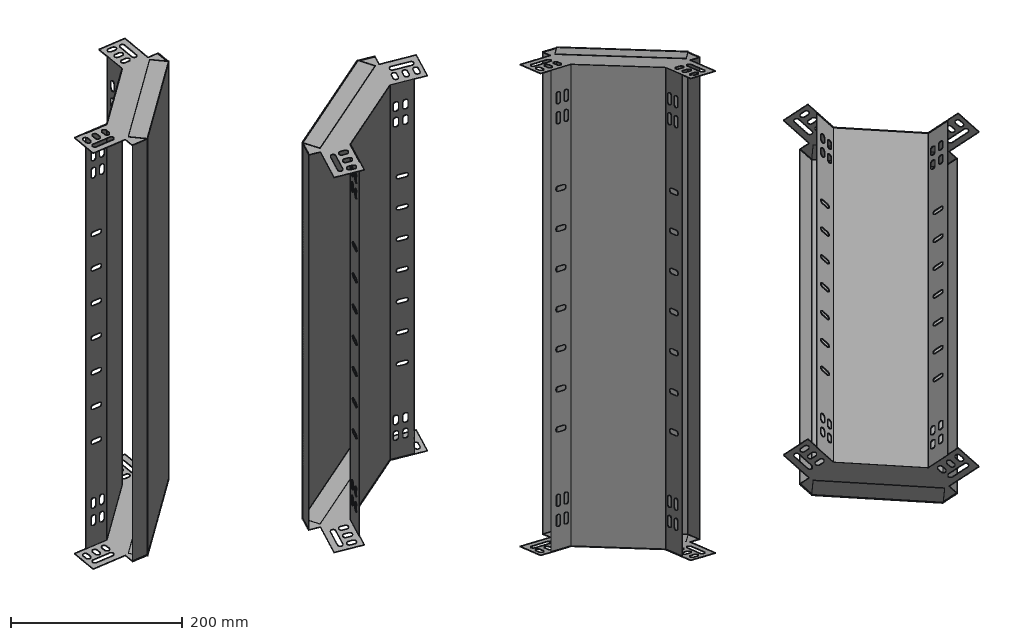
import cadquery as cq
import math

overall_width = 176.16
overall_height = 603.2
sheet = 0.8

arm_length = 46.0
section_depth = 52.2
wall_face = overall_width - section_depth
miter = math.tan(math.radians(22.5))

tray_height = overall_height - 2 * sheet
tray_half = tray_height / 2
arm_wall_length = 30.0
arm_wall_start = arm_length - arm_wall_length
lug_depth = 37.5

cover_clearance = 0.2
cover_offset = section_depth - sheet
lip_width = 23.0

slot_width = 6.5
wall_slot_length = 15.0
wall_slot_start = 23.5
wall_row_count = 7
wall_row_pitch = 50.0
pair_xs = (27.0, 39.0)
pair_zs = (238.5, 263.5)

lug_slot_x = 22.25
long_slot_length = 30.0
long_slot_y = 150.1
short_slot_length = 12.0
short_slot_y = 136.5
short_slot_count = 3
short_slot_pitch = 13.4


def corner(offset):
    """Plan corner between the arm and the 45 degree stretch, at an offset from the wall face."""
    return (arm_length + offset * miter, wall_face + offset)


def with_mirror(half_path):
    """Plan path continued by its mirror image about the line X = Y."""
    return half_path + [(y, x) for x, y in reversed(half_path)]


def plate(outline, z_low, height):
    return cq.Workplane("XY", origin=(0, 0, z_low)).polyline(outline).close().extrude(height)


def bent_wall(start_x, offset):
    """Sheet of tray height following both arms and the 45 degree stretch, inner face at the offset."""
    back = offset + sheet
    inner_path = with_mirror([(start_x, wall_face + offset), corner(offset)])
    outer_path = with_mirror([(start_x, wall_face + back), corner(back)])
    return plate(inner_path + outer_path[::-1], -tray_half, tray_height)


def other_arm(cutter):
    """Mirror image of a cutter about the plane X = Y."""
    return cutter.mirror("XZ").rotate((0, 0, 0), (0, 0, 1), 90)


def lug_slots():
    """One long slot and a row of short cross slots, through the lugs at both ends."""
    base = cq.Workplane("XY", origin=(lug_slot_x, 0, -tray_half))
    long_slot = base.center(0, long_slot_y).slot2D(long_slot_length, slot_width).extrude(tray_height)
    short_slots = (
        base.center(0, short_slot_y)
        .rarray(short_slot_pitch, 1, short_slot_count, 1)
        .slot2D(short_slot_length, slot_width, 90)
        .extrude(tray_height)
    )
    return long_slot.union(short_slots)


def wall_slots():
    """Column of crosswise slots, with two pairs of lengthwise slots near each end."""
    base = cq.Workplane("XZ", origin=(0, wall_face + sheet, 0))
    column = (
        base.center(wall_slot_start + wall_slot_length / 2, 0)
        .rarray(1, wall_row_pitch, 1, wall_row_count)
        .slot2D(wall_slot_length, slot_width)
        .extrude(sheet)
    )
    places = [(x, side * z) for x in pair_xs for z in pair_zs for side in (-1, 1)]
    pairs = base.pushPoints(places).slot2D(wall_slot_length, slot_width, 90).extrude(sheet)
    return column.union(pairs)


def end_plate(z_low):
    """Flat plate closing one end of the tray, with a lug at each arm."""
    plate_offset = cover_offset - cover_clearance
    lug_edge = wall_face + lug_depth
    outline = with_mirror(
        [
            corner(0),
            (0, wall_face),
            (0, lug_edge),
            (arm_length, lug_edge),
            (arm_length, wall_face + plate_offset),
            corner(plate_offset),
        ]
    )
    return plate(outline, z_low, sheet)


def make_tray():
    tray = bent_wall(arm_wall_start, 0)
    for z_low in (-tray_half, tray_half - sheet):
        tray = tray.union(end_plate(z_low))
    for cutter in (lug_slots(), wall_slots()):
        tray = tray.cut(cutter).cut(other_arm(cutter))
    return tray


def make_cover():
    """Bent panel behind the tray, with a lip lying on each end plate."""
    cover = bent_wall(arm_length, cover_offset)
    tip_x, tip_y = corner(section_depth)
    reach = lip_width * math.sin(math.radians(45))
    lip_outline = with_mirror([(tip_x, tip_y), (tip_x - reach, tip_y - reach)])
    for z_low in (-tray_half - sheet, tray_half):
        cover = cover.union(plate(lip_outline, z_low, sheet))
    return cover


tray = make_tray()
cover = make_cover()
result = cq.Compound.makeCompound([tray.solids().val(), cover.solids().val()])